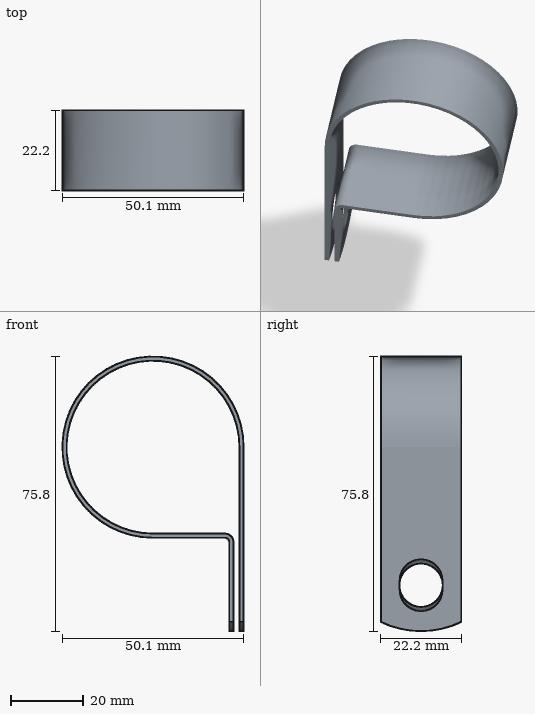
import cadquery as cq
import math

loop_inner_diameter = 47.625
strap_thickness = 1.219
strap_width = 22.225
leg_gap = 1.575
bend_inner_radius = strap_thickness
leg_tip_depth = 50.8
leg_end_radius = 25.4
hole_diameter = 11.9
slot_length = 14.288
hole_to_tip = 12.7

inner_radius = loop_inner_diameter / 2
outer_radius = inner_radius + strap_thickness
bend_outer_radius = bend_inner_radius + strap_thickness
short_leg_right = inner_radius - leg_gap
short_leg_left = short_leg_right - strap_thickness
bend_center_x = short_leg_left - bend_inner_radius
bend_center_z = -outer_radius - bend_inner_radius
leg_tip_z = -leg_tip_depth
hole_center_z = leg_tip_z + hole_to_tip
middle_of_gap_x = short_leg_right + leg_gap / 2
diagonal = math.sqrt(0.5)


def make_strap():
    """Bent strip: long leg, three-quarter loop, flat floor, bend and short leg."""
    profile = (
        cq.Workplane("XZ")
        .moveTo(outer_radius, leg_tip_z)
        .lineTo(outer_radius, 0)
        .threePointArc((-outer_radius * diagonal, outer_radius * diagonal), (0, -outer_radius))
        .lineTo(bend_center_x, -outer_radius)
        .threePointArc(
            (bend_center_x + bend_inner_radius * diagonal, bend_center_z + bend_inner_radius * diagonal),
            (short_leg_left, bend_center_z),
        )
        .lineTo(short_leg_left, leg_tip_z)
        .lineTo(short_leg_right, leg_tip_z)
        .lineTo(short_leg_right, bend_center_z)
        .threePointArc(
            (bend_center_x + bend_outer_radius * diagonal, bend_center_z + bend_outer_radius * diagonal),
            (bend_center_x, -inner_radius),
        )
        .lineTo(0, -inner_radius)
        .threePointArc((-inner_radius * diagonal, inner_radius * diagonal), (inner_radius, 0))
        .lineTo(inner_radius, leg_tip_z)
        .close()
    )
    return profile.extrude(strap_width / 2, both=True)


def make_side_envelope():
    """Block across both legs whose lower end is the shallow arc of the leg tips."""
    half_width = strap_width / 2
    end_rise = leg_end_radius - math.sqrt(leg_end_radius**2 - half_width**2)
    corner_z = leg_tip_z + end_rise
    return (
        cq.Workplane("YZ")
        .moveTo(-half_width, outer_radius)
        .lineTo(-half_width, corner_z)
        .threePointArc((0, leg_tip_z), (half_width, corner_z))
        .lineTo(half_width, outer_radius)
        .close()
        .extrude(outer_radius, both=True)
    )


def make_short_leg_hole():
    """Round cutter that passes through the short leg and stops in the gap."""
    return (
        cq.Workplane("YZ")
        .center(0, hole_center_z)
        .circle(hole_diameter / 2)
        .extrude(middle_of_gap_x)
    )


def make_long_leg_slot():
    """Vertical slot cutter, as wide as the hole, from the gap out through the long leg."""
    return (
        cq.Workplane("YZ", origin=(middle_of_gap_x, 0, hole_center_z))
        .slot2D(slot_length, hole_diameter, 90)
        .extrude(outer_radius - middle_of_gap_x)
    )


strap = make_strap().intersect(make_side_envelope())
result = strap.cut(make_short_leg_hole()).cut(make_long_leg_slot())